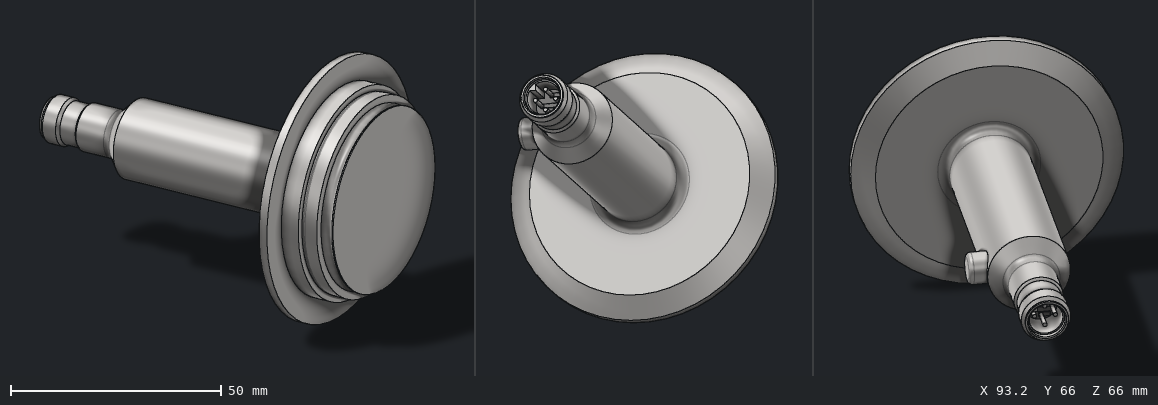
import cadquery as cq
import math

total_length = 93.2

tip_diameter = 10.4
thread_diameter = 12.0
groove_diameter = 10.8
tip_length = 0.6
groove_start = 5.0
groove_floor_start = 5.9
groove_end = 10.2
groove_chamfer = (thread_diameter - groove_diameter) / 2
thread_chamfer = (thread_diameter - tip_diameter) / 2

tube_diameter = 20.0
tube_start = 23.7
neck_radius = 3.0
flange_fillet = 2.4

flange_diameter = 66.0
flange_face_diameter = 55.0
flange_face_x = 76.05
flange_rim_x = 78.7
flange_back_x = 80.9

shoulder_diameter = 53.0
shoulder_end = 85.65
relief_diameter = 49.8
relief_end = 86.1
band_diameter = 50.0
band_start = 86.5
band_end = 89.8
throat_diameter = 44.0
end_diameter = 46.0
end_lip = 0.4

mouth_diameter = 9.4
ledge_diameter = 8.9
ledge_depth = 1.4
socket_diameter = 8.1
socket_depth = 8.4
pin_count = 4
pin_diameter = 1.0
pin_circle_radius = 2.5
pin_recess = 2.8
key_offset = 2.05

bar_width = 1.0
bar_height = 0.5
short_bar_end_y = -2.2

button_diameter = 7.8
button_x = 28.4
button_top = 14.2
button_round = 1.1


def turned_body():
    tip_r = tip_diameter / 2
    thread_r = thread_diameter / 2
    groove_r = groove_diameter / 2
    tube_r = tube_diameter / 2
    end_r = end_diameter / 2
    throat_r = throat_diameter / 2

    cone_angle = math.radians(45)
    half_angle = cone_angle / 2
    neck_end_r = thread_r + neck_radius * (1 - math.cos(cone_angle))
    neck_end_x = tube_start - (tube_r - neck_end_r)
    neck_start_x = neck_end_x - neck_radius * math.sin(cone_angle)
    neck_mid = (
        neck_start_x + neck_radius * math.sin(half_angle),
        thread_r + neck_radius * (1 - math.cos(half_angle)),
    )

    fillet_mid = (
        flange_face_x - flange_fillet * (1 - math.sin(cone_angle)),
        tube_r + flange_fillet * (1 - math.cos(cone_angle)),
    )
    lip_x = total_length - end_lip
    throat_mid = ((band_end + lip_x) / 2, throat_r)

    return (
        cq.Workplane("XY")
        .moveTo(0, 0)
        .lineTo(0, tip_r)
        .lineTo(tip_length, tip_r)
        .lineTo(tip_length + thread_chamfer, thread_r)
        .lineTo(groove_start, thread_r)
        .lineTo(groove_floor_start, groove_r)
        .lineTo(groove_end, groove_r)
        .lineTo(groove_end + groove_chamfer, thread_r)
        .lineTo(neck_start_x, thread_r)
        .threePointArc(neck_mid, (neck_end_x, neck_end_r))
        .lineTo(tube_start, tube_r)
        .lineTo(flange_face_x - flange_fillet, tube_r)
        .threePointArc(fillet_mid, (flange_face_x, tube_r + flange_fillet))
        .lineTo(flange_face_x, flange_face_diameter / 2)
        .lineTo(flange_rim_x, flange_diameter / 2)
        .lineTo(flange_back_x, flange_diameter / 2)
        .lineTo(flange_back_x, shoulder_diameter / 2)
        .lineTo(shoulder_end, shoulder_diameter / 2)
        .lineTo(shoulder_end, relief_diameter / 2)
        .lineTo(relief_end, relief_diameter / 2)
        .lineTo(band_start, band_diameter / 2)
        .lineTo(band_end, band_diameter / 2)
        .lineTo(band_end, end_r)
        .threePointArc(throat_mid, (lip_x, end_r))
        .lineTo(total_length, end_r)
        .lineTo(total_length, 0)
        .close()
        .revolve(360, (0, 0, 0), (1, 0, 0))
    )


def rod(start_x, end_x, diameter):
    return cq.Workplane("YZ", origin=(start_x, 0, 0)).circle(diameter / 2).extrude(end_x - start_x)


def mouth():
    lead_in = (mouth_diameter - ledge_diameter) / 2
    return (
        cq.Workplane("XY")
        .lineTo(0, mouth_diameter / 2)
        .lineTo(lead_in, ledge_diameter / 2)
        .lineTo(ledge_depth, ledge_diameter / 2)
        .lineTo(ledge_depth, 0)
        .close()
        .revolve(360, (0, 0, 0), (1, 0, 0))
    )


def pins():
    return (
        cq.Workplane("YZ", origin=(pin_recess, 0, 0))
        .polarArray(pin_circle_radius, 0, 360, pin_count)
        .circle(pin_diameter / 2)
        .extrude(socket_depth - pin_recess)
    )


def key():
    reach = socket_diameter / 2 - key_offset
    length = socket_depth - ledge_depth
    block = cq.Workplane("XY").box(length, reach, reach, centered=False)
    block = block.translate((ledge_depth, key_offset, key_offset))
    return block.intersect(rod(ledge_depth, socket_depth, socket_diameter))


def floor_bar(end_y, start_y, z):
    size_y = start_y - end_y
    bar = cq.Workplane("XY").box(bar_height, size_y, bar_width, centered=(False, False, True))
    return bar.translate((socket_depth - bar_height, end_y, z))


def floor_bars():
    bars = floor_bar(-pin_circle_radius, pin_circle_radius, 0)
    for z in (pin_circle_radius, -pin_circle_radius):
        bars = bars.union(floor_bar(short_bar_end_y, pin_diameter / 2, z))
    return bars


def button():
    return (
        cq.Workplane("XZ", origin=(button_x, 0, 0))
        .circle(button_diameter / 2)
        .extrude(-button_top)
        .faces(">Y")
        .edges()
        .fillet(button_round)
    )


result = (
    turned_body()
    .union(button())
    .cut(mouth())
    .cut(rod(0, socket_depth, socket_diameter))
    .union(floor_bars())
    .union(pins())
    .union(key())
)